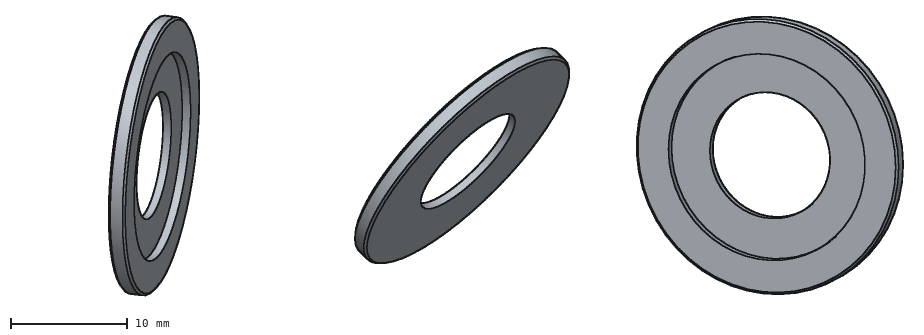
import cadquery as cq

outer_diameter = 24.0
bore_diameter = 11.0
thickness = 1.5
rim_chamfer = 0.2

recess_diameter = 18.0
recess_depth = thickness / 2

disc = (
    cq.Workplane("YZ", origin=(-thickness / 2, 0, 0))
    .circle(outer_diameter / 2)
    .extrude(thickness)
    .edges("%CIRCLE")
    .chamfer(rim_chamfer)
)

result = (
    disc.faces(">X")
    .workplane(origin=(0, 0, 0))
    .cboreHole(bore_diameter, recess_diameter, recess_depth)
)